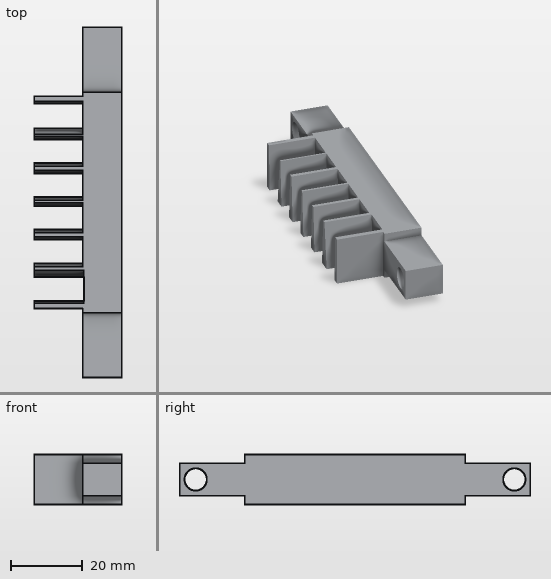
import cadquery as cq

total_length = 97.9
total_depth = 24.6
body_height = 14.0
body_length = 61.7
body_depth = 11.0

lug_height = 9.1
hole_diameter = 6.2
hole_spacing = 89.0

bay_recess = 0.3

fin_edges = [
    (29.7, 28.2, 29.7, 27.5),
    (19.0, 18.5, 20.8, 17.5),
    (10.2, 9.0, 11.1, 8.0),
    (0.6, -0.1, 1.6, -1.1),
    (-8.5, -9.6, -7.5, -10.5),
    (-17.9, -19.0, -16.9, -20.9),
    (-28.2, -29.7, -27.5, -29.7),
]

front_x = -total_depth / 2
back_x = total_depth / 2
body_front_x = back_x - body_depth
body_center_x = back_x - body_depth / 2
top_z = body_height / 2
bottom_z = -top_z


def prism_along_x(outline, start_x, end_x):
    """Extrude a (Y, Z) outline from start_x to end_x."""
    plane = cq.Workplane("YZ", origin=(start_x, 0, 0))
    return plane.polyline(outline).close().extrude(end_x - start_x)


def make_fin(top_left, top_right, bottom_left, bottom_right):
    """Wedge-shaped fin that thickens towards the bottom and joins the body."""
    outline = [
        (top_left, top_z),
        (top_right, top_z),
        (bottom_right, bottom_z),
        (bottom_left, bottom_z),
    ]
    return prism_along_x(outline, front_x, body_front_x)


def make_bay_recess(upper_fin, lower_fin):
    """Shallow cut in the body face between two neighbouring fins."""
    outline = [
        (upper_fin[1], top_z),
        (lower_fin[0], top_z),
        (lower_fin[2], bottom_z),
        (upper_fin[3], bottom_z),
    ]
    return prism_along_x(outline, body_front_x, body_front_x + bay_recess)


body = cq.Workplane("XY").box(body_depth, body_length, body_height)
lug_bar = cq.Workplane("XY").box(body_depth, total_length, lug_height)
result = body.union(lug_bar).translate((body_center_x, 0, 0))

holes = (
    cq.Workplane("YZ", origin=(body_front_x, 0, 0))
    .pushPoints([(-hole_spacing / 2, 0), (hole_spacing / 2, 0)])
    .circle(hole_diameter / 2)
    .extrude(body_depth)
)
result = result.cut(holes)

result = result.cut(make_bay_recess(fin_edges[-2], fin_edges[-1]))
for edges in fin_edges:
    result = result.union(make_fin(*edges))